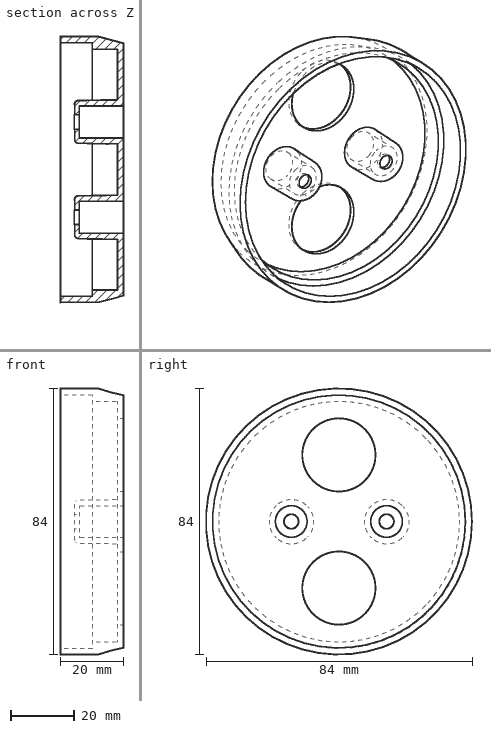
import cadquery as cq
import math

outer_radius = 42.0
total_depth = 20.0
straight_depth = 12.0
taper_angle = 15.0
back_radius = outer_radius - (total_depth - straight_depth) * math.tan(math.radians(taper_angle))

mouth_radius = 40.0
mouth_depth = 10.0
inner_radius = 38.0
floor_thickness = 2.0
floor_x = total_depth - floor_thickness

window_diameter = 23.0
window_offset = 21.0

post_base_diameter = 14.0
post_offset = 15.0
post_height = 13.5
post_draft = 1.0
post_fillet = 1.3
post_centres = [(-post_offset, 0), (post_offset, 0)]

screw_hole_diameter = 4.5
tip_thickness = 1.5
recess_diameter = post_base_diameter - 2 * floor_thickness
recess_x = floor_x - post_height + tip_thickness


def make_shell():
    """Revolve the tapered cup with its stepped cavity about the X axis."""
    profile = [
        (0, mouth_radius),
        (0, outer_radius),
        (straight_depth, outer_radius),
        (total_depth, back_radius),
        (total_depth, 0),
        (floor_x, 0),
        (floor_x, inner_radius),
        (mouth_depth, inner_radius),
        (mouth_depth, mouth_radius),
    ]
    return cq.Workplane("XY").polyline(profile).close().revolve(360, (0, 0, 0), (1, 0, 0))


def make_posts():
    """Two drafted round posts on the Y axis with rounded free ends."""
    return (
        cq.Workplane("YZ", origin=(floor_x, 0, 0))
        .pushPoints(post_centres)
        .circle(post_base_diameter / 2)
        .extrude(-post_height, taper=post_draft)
        .faces("<X")
        .edges()
        .fillet(post_fillet)
    )


def make_holes(diameter, centres, start_x=0):
    """Round cutters along X from start_x out through the back face."""
    return (
        cq.Workplane("YZ", origin=(start_x, 0, 0))
        .pushPoints(centres)
        .circle(diameter / 2)
        .extrude(total_depth - start_x)
    )


windows = make_holes(window_diameter, [(0, -window_offset), (0, window_offset)])
screw_holes = make_holes(screw_hole_diameter, post_centres)
recesses = make_holes(recess_diameter, post_centres, recess_x)

result = make_shell().union(make_posts()).cut(windows).cut(screw_holes).cut(recesses)